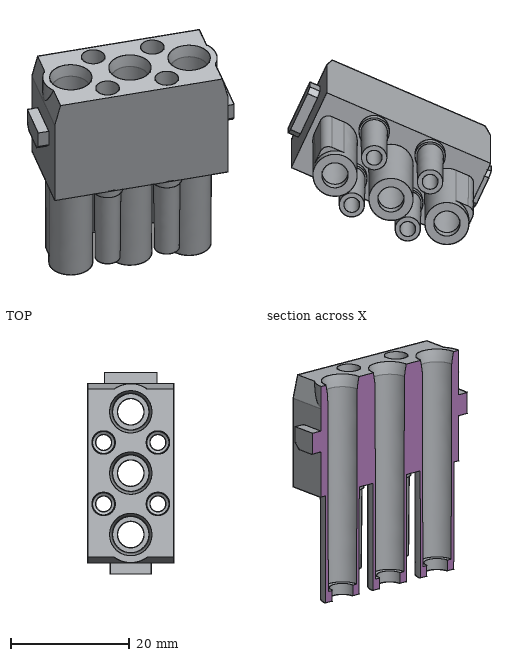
import cadquery as cq
import math

HEIGHT = 38.9
BODY_WIDTH = 14.6
BODY_LENGTH = 30.42
BODY_HEIGHT = 19.8
BODY_BOTTOM = HEIGHT - BODY_HEIGHT

BEVEL_HEIGHT = 3.95
BEVEL_INSET = 1.0

OVERALL_LENGTH = 34.1
TAB_DEPTH = (OVERALL_LENGTH - BODY_LENGTH) / 2
TAB_HEIGHT = 3.8
TAB_DROP = 7.95
TAB_TOP = HEIGHT - TAB_DROP
TAB_CHAMFER = 0.97
FRONT_TAB_WIDTH = 6.95
BACK_TAB_WIDTH = 8.95

PITCH = 10.4
LARGE_ROW = (-PITCH, 0, PITCH)
SMALL_OFFSET = 4.6
SMALL_POSITIONS = [(x, y) for x in (-SMALL_OFFSET, SMALL_OFFSET) for y in (-PITCH / 2, PITCH / 2)]

BOSS_RADIUS = 4.75
SLEEVE_TOP_RADIUS = 3.77
SLEEVE_TIP_RADIUS = 3.75
KEY_CORNER_RADIUS = 1.48
TIP_LENGTH = 2.0
MOUTH_RADIUS = 3.58
MOUTH_DEPTH = 2.15
BORE_TOP_RADIUS = 3.2
BORE_BOTTOM_RADIUS = 3.07
LARGE_HOLE_RADIUS = 2.2

COLLAR_RADIUS = 2.55
COLLAR_HEIGHT = 1.4
SMALL_SLEEVE_TOP_RADIUS = 2.25
SMALL_SLEEVE_TIP_RADIUS = 2.15
SMALL_SLEEVE_BOTTOM = 3.42
SMALL_MOUTH_RADIUS = 2.0
SMALL_BORE_RADIUS = 1.85
SMALL_HOLE_RADIUS = 1.32
FUNNEL_HEIGHT = 0.4


def revolved(profile, x, y):
    """Solid of revolution about a vertical axis from (radius, z) points."""
    points = [(0, profile[0][1])] + profile + [(0, profile[-1][1])]
    solid = cq.Workplane("XZ").polyline(points).close().revolve(360, (0, 0), (0, 1))
    return solid.translate((x, y, 0))


def body():
    """Block with bevelled ends and round bosses standing out of the bevels."""
    half = BODY_LENGTH / 2
    bevel_bottom = HEIGHT - BEVEL_HEIGHT
    outline = [
        (-half, BODY_BOTTOM),
        (half, BODY_BOTTOM),
        (half, bevel_bottom),
        (half - BEVEL_INSET, HEIGHT),
        (-half + BEVEL_INSET, HEIGHT),
        (-half, bevel_bottom),
    ]
    block = cq.Workplane("YZ").polyline(outline).close().extrude(BODY_WIDTH / 2, both=True)
    bosses = (
        cq.Workplane("XY", origin=(0, 0, BODY_BOTTOM))
        .pushPoints([(0, -PITCH), (0, PITCH)])
        .circle(BOSS_RADIUS)
        .extrude(BODY_HEIGHT)
    )
    return block.union(bosses)


def tab(width, side):
    """Locking tab with chamfered lower corners; side is -1 or +1 along y."""
    reach = BODY_LENGTH / 2 + TAB_DEPTH
    return (
        cq.Workplane("XY")
        .box(width, reach, TAB_HEIGHT)
        .edges("|Y and <Z")
        .chamfer(TAB_CHAMFER)
        .translate((0, side * reach / 2, TAB_TOP - TAB_HEIGHT / 2))
    )


def corner_key():
    """Drafted key filling out the (-x, -y) quarter of a sleeve to a rounded corner."""
    draft = math.degrees(math.atan((SLEEVE_TOP_RADIUS - SLEEVE_TIP_RADIUS) / BODY_BOTTOM))
    length = BODY_BOTTOM - TIP_LENGTH
    corner = (-SLEEVE_TOP_RADIUS, -SLEEVE_TOP_RADIUS, BODY_BOTTOM - length / 2)
    square = (
        cq.Workplane("XY", origin=(0, 0, BODY_BOTTOM))
        .rect(2 * SLEEVE_TOP_RADIUS, 2 * SLEEVE_TOP_RADIUS)
        .extrude(-length, taper=draft)
        .edges(cq.selectors.NearestToPointSelector(corner))
        .fillet(KEY_CORNER_RADIUS)
    )
    quarter = (
        cq.Workplane("XY", origin=(0, 0, TIP_LENGTH))
        .box(SLEEVE_TOP_RADIUS, SLEEVE_TOP_RADIUS, length, centered=False)
        .translate((-SLEEVE_TOP_RADIUS, -SLEEVE_TOP_RADIUS, 0))
    )
    return square.intersect(quarter)


def plain_sleeve(y):
    return revolved([(SLEEVE_TIP_RADIUS, 0), (SLEEVE_TOP_RADIUS, BODY_BOTTOM)], 0, y)


def keyed_sleeve(side):
    """End sleeve, keyed on its outer -x corner down to its plain round tip."""
    key = corner_key()
    if side > 0:
        key = key.mirror("XZ")
    return plain_sleeve(side * PITCH).union(key.translate((0, side * PITCH, 0)))


def small_sleeve(x, y):
    collar_bottom = BODY_BOTTOM - COLLAR_HEIGHT
    profile = [
        (SMALL_SLEEVE_TIP_RADIUS, SMALL_SLEEVE_BOTTOM),
        (SMALL_SLEEVE_TOP_RADIUS, collar_bottom),
        (COLLAR_RADIUS, collar_bottom),
        (COLLAR_RADIUS, BODY_BOTTOM),
    ]
    return revolved(profile, x, y)


def large_bore(y):
    """Conical mouth, tapered bore and a smaller hole through the sleeve tip."""
    profile = [
        (LARGE_HOLE_RADIUS, 0),
        (LARGE_HOLE_RADIUS, TIP_LENGTH),
        (BORE_BOTTOM_RADIUS, TIP_LENGTH),
        (BORE_TOP_RADIUS, HEIGHT - MOUTH_DEPTH),
        (MOUTH_RADIUS, HEIGHT),
    ]
    return revolved(profile, 0, y)


def small_bore(x, y):
    """Tapered bore funnelling into a smaller hole at the collar."""
    funnel_bottom = BODY_BOTTOM - COLLAR_HEIGHT
    profile = [
        (SMALL_HOLE_RADIUS, 0),
        (SMALL_HOLE_RADIUS, funnel_bottom),
        (SMALL_BORE_RADIUS, funnel_bottom + FUNNEL_HEIGHT),
        (SMALL_MOUTH_RADIUS, HEIGHT),
    ]
    return revolved(profile, x, y)


result = body()
result = result.union(tab(FRONT_TAB_WIDTH, -1)).union(tab(BACK_TAB_WIDTH, 1))

result = result.union(plain_sleeve(0))
for end in (-1, 1):
    result = result.union(keyed_sleeve(end))
for px, py in SMALL_POSITIONS:
    result = result.union(small_sleeve(px, py))

for py in LARGE_ROW:
    result = result.cut(large_bore(py))
for px, py in SMALL_POSITIONS:
    result = result.cut(small_bore(px, py))